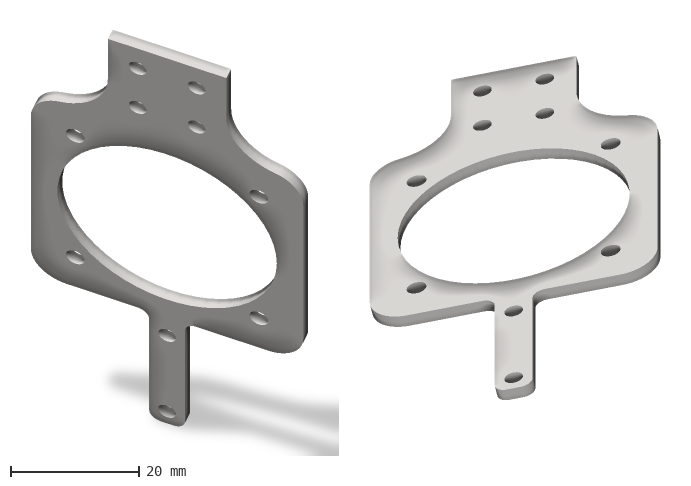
import cadquery as cq
import math

total_height = 93.05
thickness = 2.0
body_width = 46.0
corner_radius = 6.0
bore_diameter = 37.0

neck_top = 43.0
neck_width = 20.0
neck_fillet_radius = 10.05
neck_hole_pitch = 10.0
neck_hole_inset = 5.0
small_hole_diameter = 3.0

body_hole_pitch = 31.0
body_hole_diameter = 3.2

stem_width = 6.05
stem_root_radius = 2.0
stem_tip_radius = 2.0
stem_hole_inset = 3.1
stem_hole_pitch = 19.4

half_body = body_width / 2
half_neck = neck_width / 2
stem_bottom = neck_top - total_height
corner_center = half_body - corner_radius

neck_arc_x = half_neck + neck_fillet_radius
radius_sum = corner_radius + neck_fillet_radius
neck_arc_z = corner_center + math.sqrt(radius_sum**2 - (neck_arc_x - corner_center) ** 2)
blend_x = corner_center + (neck_arc_x - corner_center) * corner_radius / radius_sum
blend_z = corner_center + (neck_arc_z - corner_center) * corner_radius / radius_sum


def plate(profile):
    """Thicken a closed XZ profile symmetrically about the XZ plane."""
    return profile.extrude(thickness).translate((0, thickness / 2, 0))


def rectangle(width, bottom, top):
    """Plate centred on X between two heights."""
    middle = (bottom + top) / 2
    return plate(cq.Workplane("XZ").center(0, middle).rect(width, top - bottom))


def holes(points, diameter):
    """Through-hole cutters at the given XZ points."""
    return plate(cq.Workplane("XZ").pushPoints(points).circle(diameter / 2))


def grid(pitch, center_z):
    """Four points of a square pattern centred on X."""
    half = pitch / 2
    return [(x, center_z + z) for x in (-half, half) for z in (-half, half)]


def neck():
    """Neck with flared sides that flow into the body corners."""
    blend_angle = math.atan2(blend_z - neck_arc_z, blend_x - neck_arc_x)
    middle_angle = (blend_angle - math.pi) / 2
    middle_x = neck_arc_x + neck_fillet_radius * math.cos(middle_angle)
    middle_z = neck_arc_z + neck_fillet_radius * math.sin(middle_angle)
    return plate(
        cq.Workplane("XZ")
        .moveTo(-half_neck, neck_top)
        .lineTo(half_neck, neck_top)
        .lineTo(half_neck, neck_arc_z)
        .threePointArc((middle_x, middle_z), (blend_x, blend_z))
        .lineTo(corner_center, corner_center)
        .lineTo(-corner_center, corner_center)
        .lineTo(-blend_x, blend_z)
        .threePointArc((-middle_x, middle_z), (-half_neck, neck_arc_z))
        .close()
    )


body = rectangle(body_width, -half_body, half_body).edges("|Y").fillet(corner_radius)

stem = rectangle(stem_width, stem_bottom, -corner_center)
stem = stem.edges("|Y and <Z").fillet(stem_tip_radius)
outline = body.union(stem)
root_corners = cq.selectors.BoxSelector(
    (-stem_width, -thickness, -half_body - stem_root_radius / 2),
    (stem_width, thickness, -half_body + stem_root_radius / 2),
)
outline = outline.edges("|Y").edges(root_corners).fillet(stem_root_radius)
outline = outline.union(neck())

neck_holes_z = neck_top - neck_hole_inset - neck_hole_pitch / 2
lower_stem_hole = stem_bottom + stem_hole_inset
stem_holes = [(0, lower_stem_hole), (0, lower_stem_hole + stem_hole_pitch)]

result = (
    outline.cut(holes([(0, 0)], bore_diameter))
    .cut(holes(grid(body_hole_pitch, 0), body_hole_diameter))
    .cut(holes(grid(neck_hole_pitch, neck_holes_z), small_hole_diameter))
    .cut(holes(stem_holes, small_hole_diameter))
)